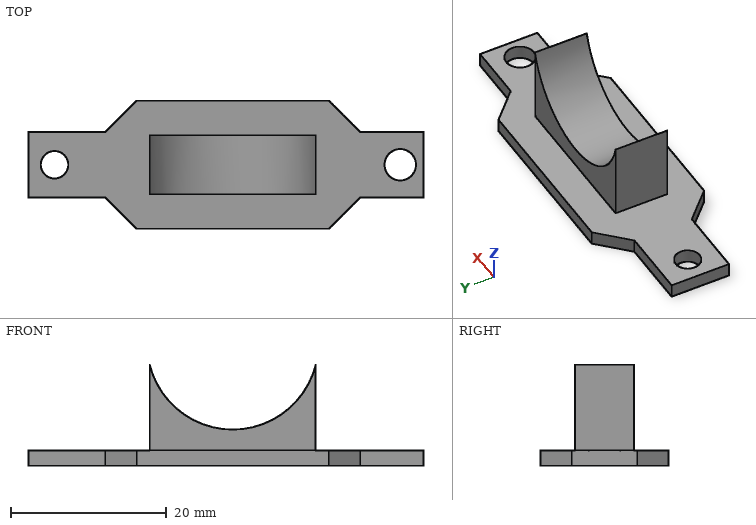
import cadquery as cq

total_length = 50.8
plate_width = 16.5
plate_thickness = 2.0
tab_width = 8.45
left_tab_length = 9.85
right_tab_length = 8.15
corner_cut = (plate_width - tab_width) / 2

left_hole_diameter = 3.5
left_hole_inset = 3.35
right_hole_diameter = 4.0
right_hole_inset = 3.0

total_height = 13.0
cradle_length = 21.35
cradle_width = 7.6
cradle_low_point = 4.65

left_end = -total_length / 2
right_end = total_length / 2
body_left = left_end + left_tab_length
body_right = right_end - right_tab_length
body_center = (body_left + body_right) / 2


def make_plate():
    upper_edge = [
        (left_end, tab_width / 2),
        (body_left, tab_width / 2),
        (body_left + corner_cut, plate_width / 2),
        (body_right - corner_cut, plate_width / 2),
        (body_right, tab_width / 2),
        (right_end, tab_width / 2),
    ]
    lower_edge = [(x, -y) for x, y in reversed(upper_edge)]
    return cq.Workplane("XY").polyline(upper_edge + lower_edge).close().extrude(plate_thickness)


def make_cradle():
    """Block whose top is a concave arc running out to sharp tips at both ends."""
    cradle_left = body_center - cradle_length / 2
    cradle_right = body_center + cradle_length / 2
    return (
        cq.Workplane("XZ")
        .moveTo(cradle_left, 0)
        .lineTo(cradle_right, 0)
        .lineTo(cradle_right, total_height)
        .threePointArc((body_center, cradle_low_point), (cradle_left, total_height))
        .close()
        .extrude(cradle_width / 2, both=True)
    )


def make_hole(x, diameter):
    return cq.Workplane("XY").center(x, 0).circle(diameter / 2).extrude(plate_thickness)


result = make_plate().union(make_cradle())
result = result.cut(make_hole(left_end + left_hole_inset, left_hole_diameter))
result = result.cut(make_hole(right_end - right_hole_inset, right_hole_diameter))